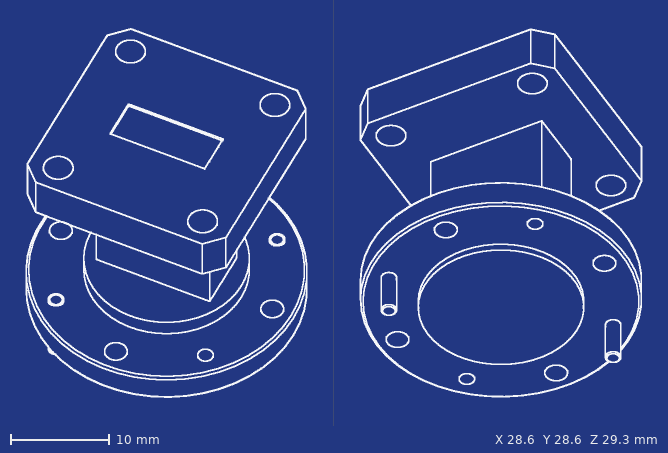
import cadquery as cq
import math

total_height = 29.27
disk_bottom = 4.65
disk_top = 7.93
boss_bottom = 3.83
boss_top = 9.75

disk_diameter = 28.57
disk_chamfer = 0.25
boss_diameter = 16.83
bolt_circle_radius = 11.9
bolt_hole_diameter = 2.3
pin_hole_diameter = 1.58
bolt_angles = (0, 90, 180, 270)
pin_angles = (45, 225)
open_pin_hole_angles = (135, 315)

neck_width = 12.8
neck_depth = 6.4

plate_side = 22.4
plate_thickness = 4.8
plate_corner_chamfer = 1.81
plate_bottom = total_height - plate_thickness
plate_hole_diameter = 3.01
plate_hole_spacing_x = 16.27
plate_hole_spacing_y = 16.98

recess_width = 10.65
recess_depth_y = 4.33
recess_depth = 0.3

pin_diameter = pin_hole_diameter
pin_chamfer = 0.15


def on_bolt_circle(angle):
    """X, Y position on the bolt circle at an angle in degrees."""
    turn = math.radians(angle)
    return (bolt_circle_radius * math.cos(turn), bolt_circle_radius * math.sin(turn))


def cylinder(diameter, bottom, top):
    """Upright cylinder on the main axis."""
    return cq.Workplane("XY").workplane(offset=bottom).circle(diameter / 2).extrude(top - bottom)


def disk_holes(angles, diameter):
    """Cutters through the disk at the given bolt-circle angles."""
    return (
        cq.Workplane("XY").workplane(offset=disk_bottom)
        .pushPoints([on_bolt_circle(angle) for angle in angles])
        .circle(diameter / 2)
        .extrude(disk_top - disk_bottom)
    )


def make_round_flange():
    """Chamfered disk with a raised boss on both faces and a ring of holes."""
    disk = cylinder(disk_diameter, disk_bottom, disk_top).edges("%CIRCLE").chamfer(disk_chamfer)
    flange = disk.union(cylinder(boss_diameter, boss_bottom, boss_top))
    flange = flange.cut(disk_holes(bolt_angles, bolt_hole_diameter))
    return flange.cut(disk_holes(pin_angles + open_pin_hole_angles, pin_hole_diameter))


def make_square_flange():
    """Square plate with cut corners, four holes and a central recess."""
    plate = (
        cq.Workplane("XY").workplane(offset=plate_bottom)
        .rect(plate_side, plate_side)
        .extrude(plate_thickness)
        .edges("|Z").chamfer(plate_corner_chamfer)
    )
    plate = (
        plate.faces(">Z").workplane()
        .rect(plate_hole_spacing_x, plate_hole_spacing_y, forConstruction=True)
        .vertices()
        .hole(plate_hole_diameter)
    )
    return plate.faces(">Z").workplane().rect(recess_width, recess_depth_y).cutBlind(-recess_depth)


def make_adapter():
    """Both flanges joined by the neck."""
    neck = (
        cq.Workplane("XY").workplane(offset=boss_top)
        .rect(neck_width, neck_depth)
        .extrude(plate_bottom - boss_top)
    )
    return make_round_flange().union(neck).union(make_square_flange())


def make_pin(angle):
    """Dowel pin with both ends chamfered, standing in its hole in the disk."""
    x, y = on_bolt_circle(angle)
    pin = cylinder(pin_diameter, 0, disk_top).edges("%CIRCLE").chamfer(pin_chamfer)
    return pin.translate((x, y, 0))


adapter = make_adapter()
pins = [make_pin(angle) for angle in pin_angles]

result = cq.Compound.makeCompound([adapter.val(), *[pin.val() for pin in pins]])